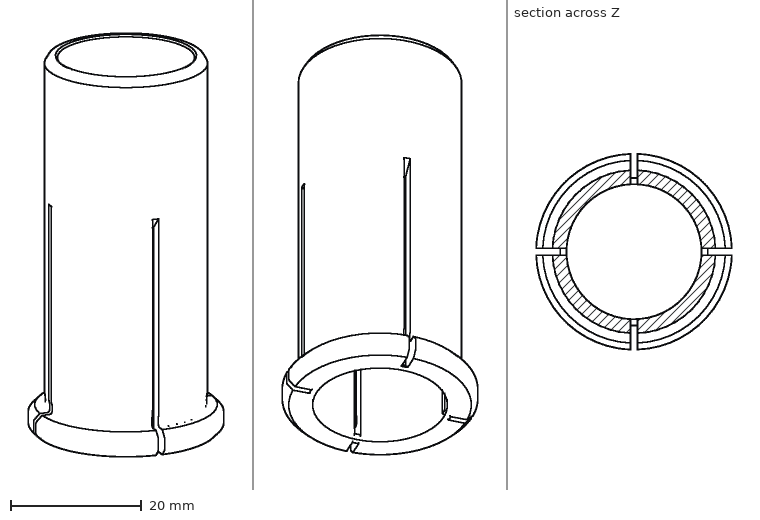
import cadquery as cq
import math

length = 60.0
body_radius = 25.0 / 2

flange_radius = 15.0
flange_height = 4.0
flange_chamfer = 1.0
flange_edge_round = 0.5

neck_radius = 12.35
neck_round = 0.4
neck_top = 5.5
neck_cone_top = 6.1

lead_angle = math.radians(30)
lead_height = 1.2
lead_round = 0.7

bore_radius = 20.65 / 2
upper_bore_radius = 21 / 2
upper_bore_depth = 10.0
mouth_chamfer = 0.3

slot_count = 4
slot_width = 1.0
cutter_radius = 25.0
cutter_center_radius = 28.5
cutter_center_height = 18.2


def make_flange():
    flange = cq.Workplane("XY").circle(flange_radius).extrude(flange_height)
    flange = flange.edges().chamfer(flange_chamfer)
    rim_edges = flange.edges(cq.selectors.RadiusNthSelector(-1))
    return rim_edges.fillet(flange_edge_round)


def make_body():
    """Revolve the neck, body and lead-in; coordinates are (radius, height)."""
    round_center_height = length - lead_round
    round_start_height = round_center_height + lead_round * math.sin(lead_angle)
    cone_rise = round_start_height - (length - lead_height)
    round_start_radius = body_radius - cone_rise * math.tan(lead_angle)
    round_center_radius = round_start_radius - lead_round * math.cos(lead_angle)
    mid_angle = (lead_angle + math.pi / 2) / 2
    round_middle = (
        round_center_radius + lead_round * math.cos(mid_angle),
        round_center_height + lead_round * math.sin(mid_angle),
    )
    neck_round_middle = (
        neck_radius + neck_round * (1 - math.cos(math.pi / 4)),
        flange_height + neck_round * (1 - math.sin(math.pi / 4)),
    )
    profile = (
        cq.Workplane("XZ")
        .lineTo(neck_radius + neck_round, 0)
        .lineTo(neck_radius + neck_round, flange_height)
        .threePointArc(neck_round_middle, (neck_radius, flange_height + neck_round))
        .lineTo(neck_radius, neck_top)
        .lineTo(body_radius, neck_cone_top)
        .lineTo(body_radius, length - lead_height)
        .lineTo(round_start_radius, round_start_height)
        .threePointArc(round_middle, (round_center_radius, length))
        .lineTo(0, length)
        .close()
    )
    return profile.revolve(360, (0, 0), (0, 1))


def make_bore():
    """Through bore with a wider upper length and a chamfered mouth."""
    bore = cq.Workplane("XY").circle(bore_radius).extrude(length)
    upper_bore = (
        cq.Workplane("XY", origin=(0, 0, length - upper_bore_depth))
        .circle(upper_bore_radius)
        .extrude(upper_bore_depth)
    )
    mouth = cq.Workplane(
        cq.Solid.makeCone(
            upper_bore_radius,
            upper_bore_radius + mouth_chamfer,
            mouth_chamfer,
            pnt=cq.Vector(0, 0, length - mouth_chamfer),
        )
    )
    return bore.union(upper_bore).union(mouth)


def make_slot_cutter(angle):
    cutter = (
        cq.Workplane("XZ")
        .center(cutter_center_radius, cutter_center_height)
        .circle(cutter_radius)
        .extrude(slot_width / 2, both=True)
    )
    return cutter.rotate((0, 0, 0), (0, 0, 1), angle)


result = make_flange().union(make_body()).cut(make_bore())
for index in range(slot_count):
    result = result.cut(make_slot_cutter(index * 360 / slot_count))